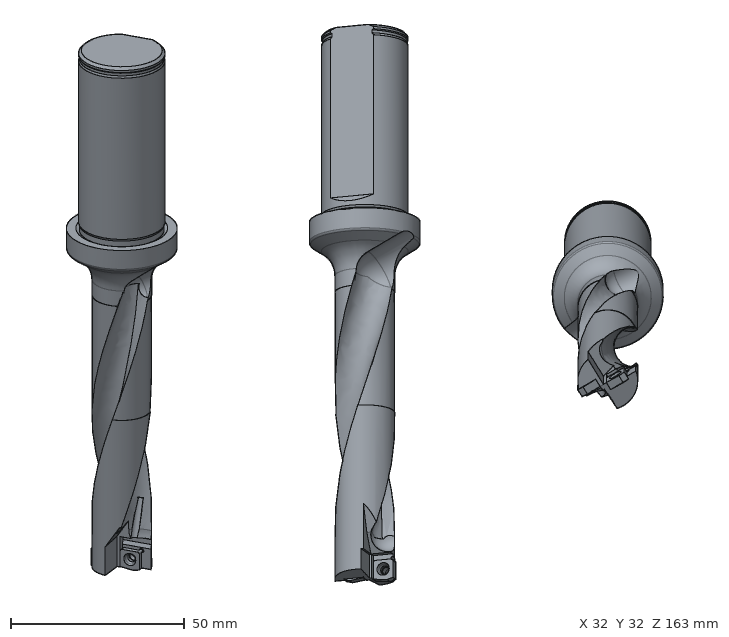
import cadquery as cq
import math

total_length = 163.0

shank_radius = 25.0 / 2
neck_radius = 24.5 / 2
shank_top_chamfer = 0.8
groove_top_z = 161.5
groove_bottom_z = 159.8
groove_taper = 0.7
shank_bottom_z = 109.0
flat_y = 10.6
flat_bottom_z = 112.3

flange_radius = 32.0 / 2
flange_top_z = 107.1
flange_edge_fillet = 0.8
undercut_radius = 13.2
undercut_depth = 0.5
transition_bottom_z = 91.1
transition_radius = 8.8
cone_slope_angle = math.radians(34)

drill_radius = 8.6
waist_relief = 0.08
waist_top_z = 86.2
waist_bottom_z = 50.4

twist_rate = 2.178
flute_bottom_z = 12.5
flute_top_z = 90.5
runout_tilt = 65.0
runout_lead = 40.0
runout_length = 32.6
narrow_flute_radius = 4.9
narrow_flute_offset = 8.5
narrow_flute_start = 161.5
narrow_wall_top = (10.1, 6.0)
narrow_wall_foot = (4.2, 2.8)
narrow_floor_point = (3.6, 0.3)
narrow_floor_end = (8.5, -5.4)
wide_flute_radius = 6.5
wide_flute_offset = 8.3
wide_flute_start = -31.0

reach = 2 * drill_radius
front_wall_x = -1.5
front_floor_y = 1.5
front_ledge_y = 2.1
front_floor_top_z = 7.0
front_ledge_bottom_z = 8.2
front_ledge_top_z = 10.0
front_slope_x = 3.0
front_slope_top_z = 16.6
rear_wall_x = -2.6
rear_step_x = -2.0
rear_step_y = 1.5
rear_pocket_top_z = 7.5
rear_slope_bottom = (2.0, rear_pocket_top_z)
rear_slope_middle = (5.4, 13.0)
rear_slope_top = (drill_radius, 22.0)

end_height_front = 1.0
end_height_axis = 0.3
end_height_rear = 1.5

insert_size = 6.0
insert_thickness = 2.5
insert_corner_radius = 0.7
insert_crown = 0.5
crown_position = 0.7
inner_insert_x = -0.5
outer_insert_x = -drill_radius
rim_radius = 3.7 / 2
rim_depth = 0.5
countersink_radius = 3.1 / 2
insert_hole_radius = 2.5 / 2
countersink_depth = 1.3
screw_hole_radius = 2.1 / 2
screw_hole_depth = 2.5
pocket_relief_radius = 0.7

coolant_radius = 2.1 / 2
coolant_depth = 8.2
coolant_tilt = math.radians(20)
coolant_position = (3.9, 1.5, 13.7)


def turned_blank():
    """Shank, flange and drill as one revolved profile."""
    arc_sweep = math.pi / 2 - cone_slope_angle
    arc_center_r = drill_radius + transition_radius

    def arc_point(angle):
        return (
            arc_center_r - transition_radius * math.cos(angle),
            transition_bottom_z + transition_radius * math.sin(angle),
        )

    arc_end = arc_point(arc_sweep)
    flange_bottom_z = arc_end[1] + (flange_radius - arc_end[0]) * math.tan(cone_slope_angle)
    waist_radius = drill_radius - waist_relief
    blank = (
        cq.Workplane("XZ")
        .moveTo(0, 0)
        .lineTo(drill_radius, 0)
        .lineTo(drill_radius, waist_bottom_z)
        .lineTo(waist_radius, waist_bottom_z)
        .lineTo(waist_radius, waist_top_z)
        .lineTo(drill_radius, waist_top_z)
        .lineTo(drill_radius, transition_bottom_z)
        .threePointArc(arc_point(arc_sweep / 2), arc_end)
        .lineTo(flange_radius, flange_bottom_z)
        .lineTo(flange_radius, flange_top_z)
        .lineTo(undercut_radius, flange_top_z)
        .lineTo(neck_radius, flange_top_z - undercut_depth)
        .lineTo(neck_radius, shank_bottom_z - groove_taper)
        .lineTo(shank_radius, shank_bottom_z)
        .lineTo(shank_radius, groove_bottom_z)
        .lineTo(neck_radius, groove_bottom_z + groove_taper)
        .lineTo(neck_radius, groove_top_z - groove_taper / 2)
        .lineTo(shank_radius, groove_top_z)
        .lineTo(shank_radius, total_length - shank_top_chamfer)
        .lineTo(shank_radius - shank_top_chamfer, total_length)
        .lineTo(0, total_length)
        .close()
        .revolve(360, (0, 0, 0), (0, 1, 0))
    )
    flange_edge = cq.selectors.BoxSelector(
        (-reach, -reach, flange_bottom_z - 0.2), (reach, reach, flange_bottom_z + 0.2)
    )
    return blank.edges(flange_edge).edges("%CIRCLE").fillet(flange_edge_fillet)


def shank_flat():
    """Clamping flat on the +Y side, ending in a 45 degree ramp."""
    height = total_length - flat_bottom_z
    return (
        cq.Workplane("YZ")
        .moveTo(flat_y, flat_bottom_z)
        .lineTo(flat_y + height, flat_bottom_z - height)
        .lineTo(flat_y + height, total_length)
        .lineTo(flat_y, total_length)
        .close()
        .extrude(shank_radius, both=True)
    )


def narrow_flute_section():
    """Flute outline at angle zero: a straight cutting-side wall meeting a round floor."""
    return (
        cq.Workplane("XY")
        .moveTo(*narrow_wall_top)
        .lineTo(*narrow_wall_foot)
        .threePointArc(narrow_floor_point, narrow_floor_end)
        .lineTo(narrow_wall_top[0], narrow_floor_end[1])
        .close()
    )


def wide_flute_section():
    """Flute outline at angle zero: a circle overlapping the rim."""
    return cq.Workplane("XY").moveTo(wide_flute_offset, 0).circle(wide_flute_radius)


def flute_cutters(section, radius, offset, start_angle):
    """Twisted groove, its round lower end and its outward run-out at the top."""
    length = flute_top_z - flute_bottom_z
    twist = twist_rate * length
    groove = (
        section.twistExtrude(length, twist)
        .translate((0, 0, flute_bottom_z))
        .rotate((0, 0, 0), (0, 0, 1), start_angle)
    )
    lower_end = (
        cq.Workplane("XY")
        .sphere(radius)
        .translate((offset, 0, flute_bottom_z))
        .rotate((0, 0, 0), (0, 0, 1), start_angle)
    )
    runout = (
        cq.Workplane("XY")
        .circle(radius)
        .extrude(runout_length)
        .union(cq.Workplane("XY").sphere(radius))
        .rotate((0, 0, 0), (0, 1, 0), runout_tilt)
        .rotate((0, 0, 0), (0, 0, 1), runout_lead)
        .translate((offset, 0, flute_top_z))
        .rotate((0, 0, 0), (0, 0, 1), start_angle + twist)
    )
    return [groove, lower_end, runout]


def front_pocket():
    """Clearance facing -Y in front of the inner insert, with a stepped end wall."""
    ledge = (
        cq.Workplane("YZ", origin=(front_wall_x, 0, 0))
        .moveTo(-reach, 0)
        .lineTo(0, 0)
        .lineTo(0, front_ledge_top_z)
        .lineTo(-reach, front_ledge_top_z)
        .close()
        .extrude(reach)
    )
    seat = (
        cq.Workplane("YZ", origin=(inner_insert_x, 0, 0))
        .moveTo(-reach, 0)
        .lineTo(front_floor_y, 0)
        .lineTo(front_floor_y, front_floor_top_z)
        .lineTo(front_ledge_y, front_ledge_bottom_z)
        .lineTo(front_ledge_y, front_ledge_top_z)
        .lineTo(-reach, front_ledge_top_z)
        .close()
        .extrude(reach)
    )
    slope = (
        cq.Workplane("XZ")
        .moveTo(front_wall_x, front_ledge_top_z)
        .lineTo(front_slope_x, front_slope_top_z)
        .lineTo(reach, front_slope_top_z)
        .lineTo(reach, front_ledge_top_z)
        .close()
        .extrude(reach)
    )
    return [ledge, seat, slope]


def rear_pocket():
    """Clearance facing +Y in front of the outer insert, with a stepped side wall and a sloped end."""
    block = cq.Workplane("XY").box(reach, reach, rear_pocket_top_z, centered=False)
    slope = (
        cq.Workplane("YZ", origin=(rear_wall_x - reach, 0, 0))
        .moveTo(*rear_slope_bottom)
        .lineTo(*rear_slope_middle)
        .lineTo(*rear_slope_top)
        .lineTo(drill_radius, rear_pocket_top_z)
        .close()
        .extrude(reach)
    )
    return [
        slope,
        block.translate((rear_wall_x - reach, 0, 0)),
        block.translate((rear_step_x - reach, rear_step_y, 0)),
    ]


def end_clearance():
    """Material removed below the sloping end face."""
    return (
        cq.Workplane("YZ")
        .moveTo(-drill_radius, 0)
        .lineTo(-drill_radius, end_height_front)
        .lineTo(0, end_height_axis)
        .lineTo(drill_radius, end_height_rear)
        .lineTo(drill_radius, 0)
        .close()
        .extrude(reach, both=True)
    )


def insert_blank():
    """Insert without its hole: rake face on Y = 0, lower left corner at the origin, body toward +Y."""
    return (
        cq.Workplane("XZ")
        .moveTo(0, insert_crown)
        .lineTo(0, insert_size)
        .lineTo(insert_size, insert_size)
        .lineTo(insert_size, insert_crown)
        .lineTo(crown_position * insert_size, 0)
        .close()
        .extrude(-insert_thickness)
        .edges("|Y and >Z")
        .fillet(insert_corner_radius)
    )


def insert_hole():
    """Countersunk screw hole through the insert."""
    return (
        cq.Workplane("XY")
        .moveTo(0, 0)
        .lineTo(rim_radius, 0)
        .lineTo(countersink_radius, rim_depth)
        .lineTo(insert_hole_radius, countersink_depth)
        .lineTo(insert_hole_radius, insert_thickness)
        .lineTo(0, insert_thickness)
        .close()
        .revolve(360, (0, 0, 0), (0, 1, 0))
        .translate((insert_size / 2, 0, insert_size / 2 + insert_crown / 2))
    )


def at_inner_seat(shape):
    return shape.translate((inner_insert_x, 0, 0))


def at_outer_seat(shape):
    """Turn the shape to face +Y and move it out to the rim on the -X side."""
    return shape.rotate((0, 0, 0), (0, 0, 1), 180).translate((outer_insert_x + insert_size, 0, 0))


def seat_cutter():
    """Insert pocket with a relieved corner and the screw hole behind it."""
    corner_relief = (
        cq.Workplane("XZ")
        .center(insert_size, insert_size)
        .circle(pocket_relief_radius)
        .extrude(-insert_thickness)
    )
    screw_hole = (
        cq.Workplane("XZ")
        .center(insert_size / 2, insert_size / 2 + insert_crown / 2)
        .circle(screw_hole_radius)
        .extrude(-insert_thickness - screw_hole_depth)
    )
    open_end = cq.Workplane("XY").box(insert_size, insert_thickness, insert_crown, centered=False)
    return insert_blank().union(open_end).union(corner_relief).union(screw_hole)


def coolant_outlet():
    """Blind drilled outlet leaning from the wide flute into the body."""
    axis = cq.Vector(0, math.sin(coolant_tilt), math.cos(coolant_tilt))
    start = cq.Vector(*coolant_position) - axis * coolant_depth
    return cq.Workplane(obj=cq.Solid.makeCylinder(coolant_radius, 2 * coolant_depth, start, axis))


def make_body():
    body = turned_blank().cut(shank_flat())
    cutters = [
        *flute_cutters(
            narrow_flute_section(), narrow_flute_radius, narrow_flute_offset, narrow_flute_start
        ),
        *flute_cutters(wide_flute_section(), wide_flute_radius, wide_flute_offset, wide_flute_start),
        *front_pocket(),
        *rear_pocket(),
        end_clearance(),
        at_inner_seat(seat_cutter()),
        at_outer_seat(seat_cutter()),
        coolant_outlet(),
    ]
    for cutter in cutters:
        body = body.cut(cutter)
    return body


body = make_body()
inserts = [place(insert_blank().cut(insert_hole())) for place in (at_inner_seat, at_outer_seat)]

result = cq.Compound.makeCompound([body.val(), *[insert.val() for insert in inserts]])